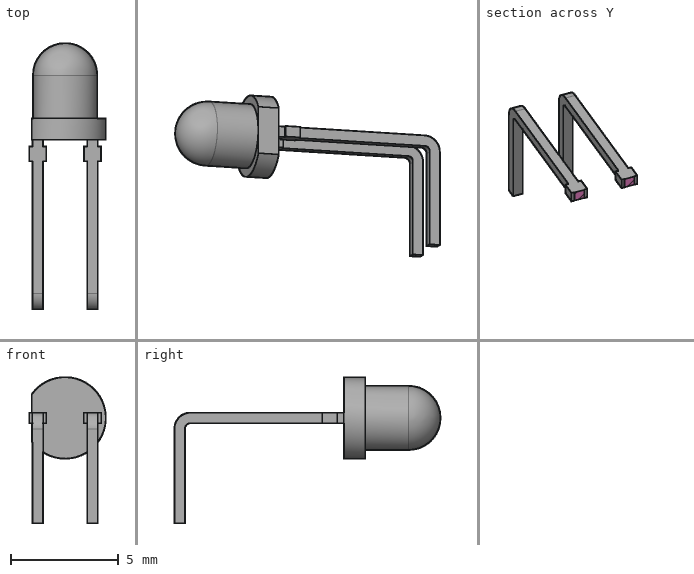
import cadquery as cq


lens_radius = 1.5
lens_straight_length = 2.0
flange_radius = 1.9
flange_thickness = 1.0
flat_distance = 1.55

lead_pitch = 2.54
lead_width = 0.5
lead_reach = 7.87
lead_drop = 4.895
bend_inner_radius = 0.25
bend_outer_radius = bend_inner_radius + lead_width

stop_width = 0.8
stop_length = 0.7
stop_gap = 0.3


def make_lens():
    """Cylinder with a hemispherical front end, revolved about the Y axis."""
    dome_start = flange_thickness + lens_straight_length
    dome_tip = dome_start + lens_radius
    return (
        cq.Workplane("XY")
        .lineTo(lens_radius, 0)
        .lineTo(lens_radius, dome_start)
        .radiusArc((0, dome_tip), -lens_radius)
        .close()
        .revolve(360, (0, 0, 0), (0, 1, 0))
    )


def make_flange():
    """Disc around the lens base, cut flat on its -X side."""
    disc = cq.Workplane("XZ").circle(flange_radius).extrude(-flange_thickness)
    kept_width = flat_distance + flange_radius
    kept_side = cq.Workplane("XY").box(
        kept_width, flange_thickness, 2 * flange_radius, centered=(False, False, True)
    ).translate((-flat_distance, 0, 0))
    return disc.intersect(kept_side)


def make_lead(x_center):
    """Square wire with a right-angle bend and a wider stop behind the flange."""
    half_width = lead_width / 2
    wire = (
        cq.Workplane("YZ")
        .moveTo(0, half_width)
        .lineTo(bend_outer_radius - lead_reach, half_width)
        .radiusArc((-lead_reach, half_width - bend_outer_radius), -bend_outer_radius)
        .lineTo(-lead_reach, -lead_drop)
        .lineTo(lead_width - lead_reach, -lead_drop)
        .lineTo(lead_width - lead_reach, -half_width - bend_inner_radius)
        .radiusArc((bend_outer_radius - lead_reach, -half_width), bend_inner_radius)
        .lineTo(0, -half_width)
        .close()
        .extrude(half_width, both=True)
    )
    stop = cq.Workplane("XY").box(stop_width, stop_length, lead_width)
    stop = stop.translate((0, -stop_gap - stop_length / 2, 0))
    return wire.union(stop).translate((x_center, 0, 0))


result = make_lens().union(make_flange())
for side in (-1, 1):
    result = result.union(make_lead(side * lead_pitch / 2))